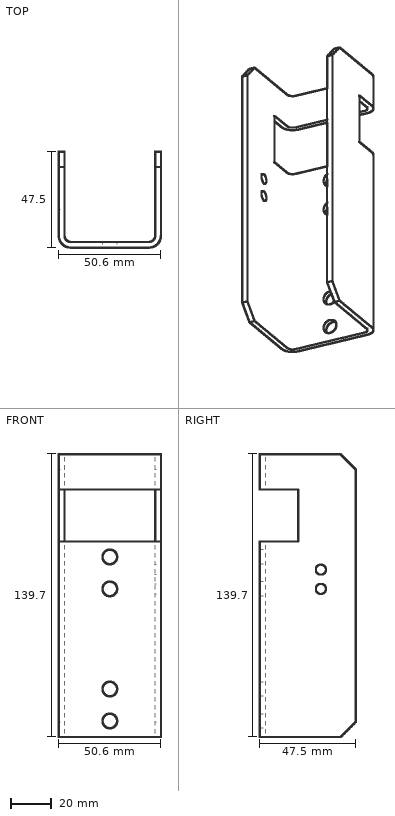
import cadquery as cq

width = 50.6
depth = 47.5
height = 139.7
thickness = 3.0
bend_radius = 6.0
flange_chamfer = 7.5

window_depth = 19.0
window_height = 25.5
window_top_gap = 17.5

web_hole_diameter = 7.1
web_hole_spacing = 15.8
web_pair_bottoms = (8.0, 73.2)

flange_hole_diameter = 5.0
flange_hole_spacing = 9.5
flange_hole_bottom = 73.2
flange_hole_setback = 30.2


def make_channel():
    inner_width = width - 2 * thickness
    outer = (
        cq.Workplane("XY").box(width, depth, height, centered=(True, False, False))
        .edges("|Z and <Y").fillet(bend_radius)
        .edges("|X and >Y").chamfer(flange_chamfer)
    )
    inner = (
        cq.Workplane("XY").box(inner_width, depth, height, centered=(True, False, False))
        .edges("|Z and <Y").fillet(bend_radius - thickness)
        .translate((0, thickness, 0))
    )
    return outer.cut(inner)


def make_window():
    bottom = height - window_top_gap - window_height
    return (
        cq.Workplane("XY")
        .box(width, window_depth, window_height, centered=(True, False, False))
        .translate((0, 0, bottom))
    )


def make_web_hole(z):
    return cq.Workplane("XZ").center(0, z).circle(web_hole_diameter / 2).extrude(-thickness)


def make_flange_hole(z):
    return (
        cq.Workplane("YZ", origin=(width / 2 - thickness, 0, 0))
        .center(flange_hole_setback, z)
        .circle(flange_hole_diameter / 2)
        .extrude(thickness)
    )


result = make_channel().cut(make_window())

for pair_bottom in web_pair_bottoms:
    for z in (pair_bottom, pair_bottom + web_hole_spacing):
        result = result.cut(make_web_hole(z))

for z in (flange_hole_bottom, flange_hole_bottom + flange_hole_spacing):
    result = result.cut(make_flange_hole(z))